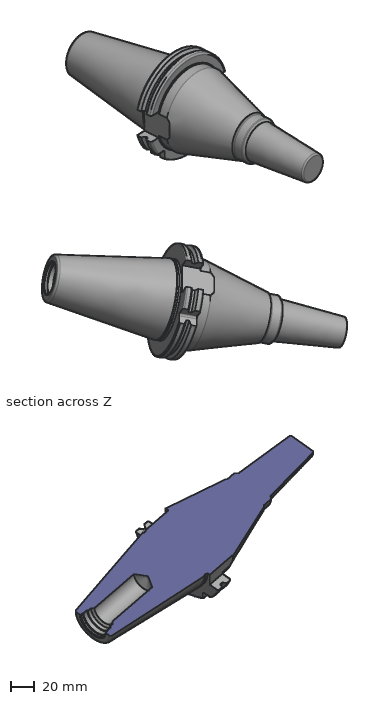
import cadquery as cq
import math


taper_length = 101.0
taper_large_radius = 35.0
taper_ratio = 7 / 24
taper_small_radius = taper_large_radius - taper_length * taper_ratio / 2
taper_end_fillet = 2.0

relief_radius = 34.3
relief_start = 101.8
relief_end = 103.3

flange_start = 105.0
flange_width = 16.0
flange_end = flange_start + flange_width
flange_radius = 48.7
flange_rear_fillet = 1.0
flange_front_fillet = 1.5
groove_center = 112.7
groove_width = 6.0
groove_depth = 3.1
groove_side_angle = 30

shoulder_radius = 39.0
shoulder_end = 130.3
shoulder_fillet = 0.8
cone_end = 190.0
cone_small_radius = 22.0
collar_radius = 21
collar_end = 199.3
collar_fillet = 1.0
collar_face_angle = 52

overall_length = 261.5
nose_start_radius = 18.3
nose_end_radius = 13.3
nose_end_fillet = 1.5

mouth_radius = 14.6
mouth_chamfer = 0.8
entry_radius = mouth_radius - mouth_chamfer
entry_end = 3.0
guide_radius = 13.3
guide_end = 7.8
pilot_radius = 12.3
pilot_end = 11.5
thread_radius = 10.2
thread_end = 62.8
drill_tip_angle = 118

slot_width = 26.0
front_slot_end = 133.5
back_slot_end = 132.6
front_slot_floor = 37.5
back_slot_floor = 35.0

notch_offset = 29.5
notch_fillet = 1.8


def revolve_about_x(profile):
    return profile.close().revolve(360, (0, 0, 0), (1, 0, 0))


def make_turned_body():
    groove_slope = groove_depth * math.tan(math.radians(groove_side_angle))
    groove_left = groove_center - groove_width / 2
    groove_right = groove_center + groove_width / 2
    groove_radius = flange_radius - groove_depth

    face_angle = math.radians(collar_face_angle)
    arc_length = collar_fillet * math.sin(face_angle)
    arc_height = collar_fillet * (1 - math.cos(face_angle))
    step_radius = collar_radius + arc_height
    step_end = cone_end + (cone_small_radius - step_radius) / math.tan(face_angle)
    face_start = collar_end + arc_length
    face_radius = collar_radius - arc_height
    nose_start = face_start + (face_radius - nose_start_radius) / math.tan(face_angle)

    outline = (
        cq.Workplane("XY")
        .moveTo(0, 0)
        .lineTo(0, taper_small_radius)
        .lineTo(taper_length, taper_large_radius)
        .lineTo(relief_start, relief_radius)
        .lineTo(relief_end, relief_radius)
        .lineTo(flange_start, taper_large_radius)
        .lineTo(flange_start, flange_radius - flange_rear_fillet)
        .radiusArc((flange_start + flange_rear_fillet, flange_radius), flange_rear_fillet)
        .lineTo(groove_left, flange_radius)
        .lineTo(groove_left + groove_slope, groove_radius)
        .lineTo(groove_right - groove_slope, groove_radius)
        .lineTo(groove_right, flange_radius)
        .lineTo(flange_end - flange_front_fillet, flange_radius)
        .radiusArc((flange_end, flange_radius - flange_front_fillet), flange_front_fillet)
        .lineTo(flange_end, shoulder_radius + shoulder_fillet)
        .radiusArc((flange_end + shoulder_fillet, shoulder_radius), -shoulder_fillet)
        .lineTo(shoulder_end, shoulder_radius)
        .lineTo(cone_end, cone_small_radius)
        .lineTo(step_end, step_radius)
        .radiusArc((step_end + arc_length, collar_radius), -collar_fillet)
        .lineTo(collar_end, collar_radius)
        .radiusArc((face_start, face_radius), collar_fillet)
        .lineTo(nose_start, nose_start_radius)
        .lineTo(overall_length, nose_end_radius)
        .lineTo(overall_length, 0)
    )
    body = revolve_about_x(outline)
    body = body.faces("<X").edges().fillet(taper_end_fillet)
    return body.faces(">X").edges().fillet(nose_end_fillet)


def make_bore():
    tip_length = thread_radius / math.tan(math.radians(drill_tip_angle / 2))
    outline = (
        cq.Workplane("XY")
        .moveTo(0, 0)
        .lineTo(0, mouth_radius)
        .lineTo(mouth_chamfer, entry_radius)
        .lineTo(entry_end, entry_radius)
        .lineTo(entry_end + entry_radius - guide_radius, guide_radius)
        .lineTo(guide_end, guide_radius)
        .lineTo(guide_end, pilot_radius)
        .lineTo(pilot_end, pilot_radius)
        .lineTo(pilot_end + pilot_radius - thread_radius, thread_radius)
        .lineTo(thread_end, thread_radius)
        .lineTo(thread_end + tip_length, 0)
    )
    return revolve_about_x(outline)


def make_drive_slot(floor_distance, end, side):
    """Slot through the flange and a flat across the shoulder; side is -1 for -Y and +1 for +Y."""
    depth = flange_radius - floor_distance
    center_y = side * (floor_distance + depth / 2)
    slot = cq.Workplane("XY").box(flange_width, depth, slot_width)
    slot = slot.translate((flange_start + flange_width / 2, center_y, 0))
    flat_length = end - flange_end
    flat = cq.Workplane("XY").box(flat_length, depth, 2 * shoulder_radius)
    return slot.union(flat.translate((flange_end + flat_length / 2, center_y, 0)))


def make_notch():
    """Block with a rounded inner corner, removed through the full flange width."""
    size = flange_radius - notch_offset
    center = notch_offset + size / 2
    block = cq.Workplane("XY").box(flange_width, size, size)
    block = block.edges("|X and >Y and >Z").fillet(notch_fillet)
    return block.translate((flange_start + flange_width / 2, -center, -center))


result = (
    make_turned_body()
    .cut(make_bore())
    .cut(make_drive_slot(front_slot_floor, front_slot_end, -1))
    .cut(make_drive_slot(back_slot_floor, back_slot_end, 1))
    .cut(make_notch())
)